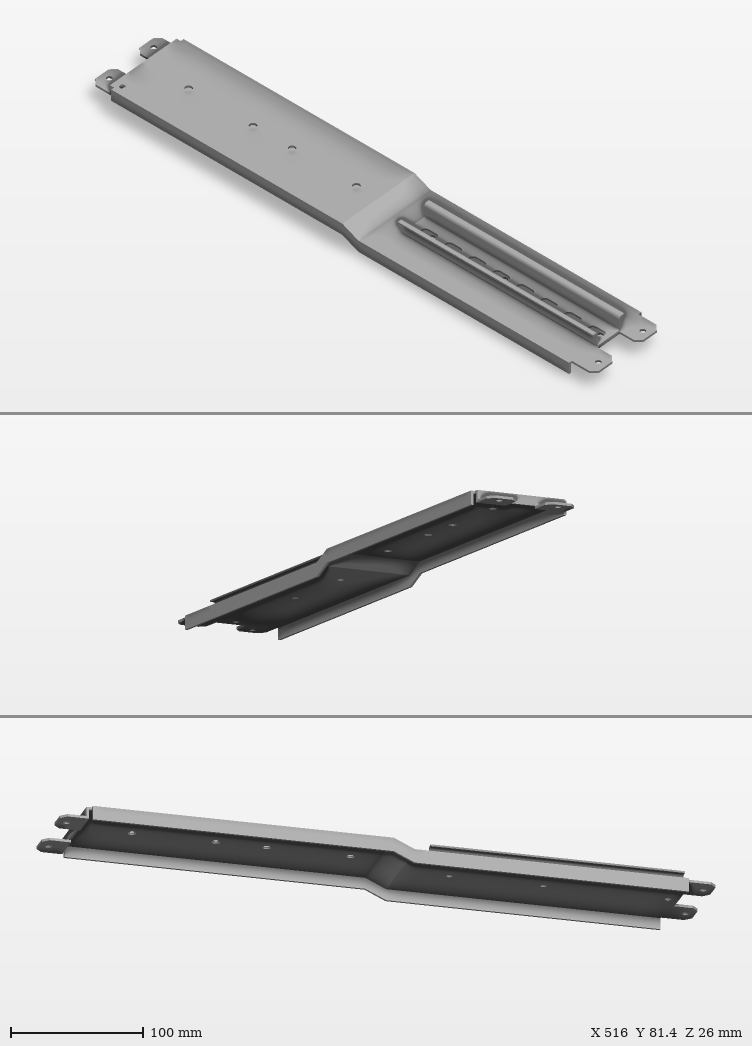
import cadquery as cq

overall_length = 516.0
bracket_width = 81.4
sheet = 2.0
channel_height = 11.0
step_height = 7.5
lower_top = channel_height
upper_top = lower_top + step_height
step_start_x = 260.5
step_end_x = 277.0

side_start_x = 23.8
side_end_x = 492.8
neck_width = 75.0
web_x = 19.6
right_edge_x = 496.3

tab_width = 25.0
tab_center_y = 25.0
tab_chamfer = 5.0
tab_hole_x = 7.5
tab_hole_diameter = 5.0

plate_hole_diameter = 6.5
plate_hole_xs = [66.0, 132.0, 172.0, 238.0]
corner_hole_diameter = 5.0
corner_hole_x = 27.8
corner_hole_y = -32.4

rail_length = 200.0
rail_start_x = right_edge_x - rail_length
rail_height = 15.0
rail_width = 35.0
rail_body_width = 27.0
rail_wall = 1.5
rail_bend = 1.2
slot_length = 15.5
slot_width = 7.5
slot_pitch = 24.5
slot_count = 8
first_slot_inset = 16.3
first_slot_x = rail_start_x + first_slot_inset
rail_hole_diameter = 5.0
rail_hole_offsets = [19.5, 93.5, 191.5]
rail_hole_xs = [rail_start_x + offset for offset in rail_hole_offsets]


def vertical_hole(x, y, diameter):
    """Cutter running through the full height of the bracket."""
    return cq.Workplane("XY").center(x, y).circle(diameter / 2).extrude(upper_top)


def stepped_bar(drop, width):
    """Bar of the given width following the stepped top, running `drop` below it."""
    profile = [
        (side_start_x, upper_top),
        (step_start_x, upper_top),
        (step_end_x, lower_top),
        (side_end_x, lower_top),
        (side_end_x, lower_top - drop),
        (step_end_x, lower_top - drop),
        (step_start_x, upper_top - drop),
        (side_start_x, upper_top - drop),
    ]
    return cq.Workplane("XZ").polyline(profile).close().extrude(width / 2, both=True)


def slab(x_start, x_end, width, top, thickness):
    """Rectangular plate centred on the X axis."""
    return (
        cq.Workplane("XY", origin=(x_start, 0, top - thickness))
        .rect(x_end - x_start, width, centered=(False, True))
        .extrude(thickness)
    )


def tab(tip_x, root_x, y):
    """Mounting tab with chamfered tip corners and a hole."""
    points_left = tip_x < root_x
    tip_side = "<X" if points_left else ">X"
    inward = 1 if points_left else -1
    blank = (
        cq.Workplane("XY", origin=((tip_x + root_x) / 2, y, lower_top - sheet))
        .rect(abs(root_x - tip_x), tab_width)
        .extrude(sheet)
        .faces(tip_side)
        .edges("|Z")
        .chamfer(tab_chamfer)
    )
    return blank.cut(vertical_hole(tip_x + inward * tab_hole_x, y, tab_hole_diameter))


def make_bracket():
    """Stepped channel with a turned-down left end, four mounting tabs and its holes."""
    channel = stepped_bar(channel_height, bracket_width)
    hollow = stepped_bar(channel_height, bracket_width - 2 * sheet).translate((0, 0, -sheet))
    body = channel.cut(hollow)
    body = body.union(slab(web_x, side_start_x, neck_width, upper_top, sheet))
    body = body.union(slab(web_x, web_x + sheet, neck_width, upper_top, step_height))
    body = body.union(slab(side_end_x, right_edge_x, neck_width, lower_top, sheet))
    for y in (-tab_center_y, tab_center_y):
        body = body.union(tab(0, web_x + sheet, y))
        body = body.union(tab(overall_length, side_end_x, y))
    for x in plate_hole_xs:
        body = body.cut(vertical_hole(x, 0, plate_hole_diameter))
    for x in rail_hole_xs:
        body = body.cut(vertical_hole(x, 0, rail_hole_diameter))
    return body.cut(vertical_hole(corner_hole_x, corner_hole_y, corner_hole_diameter))


def make_rail():
    """Top-hat strip: folded section with rounded bends, slotted along its floor."""
    wall_y = rail_body_width / 2
    lip_y = rail_width / 2
    lip_bottom = rail_height - rail_wall
    inner_y = wall_y - rail_wall
    profile = [
        (-wall_y, 0),
        (wall_y, 0),
        (wall_y, lip_bottom),
        (lip_y, lip_bottom),
        (lip_y, rail_height),
        (inner_y, rail_height),
        (inner_y, rail_wall),
        (-inner_y, rail_wall),
        (-inner_y, rail_height),
        (-lip_y, rail_height),
        (-lip_y, lip_bottom),
        (-wall_y, lip_bottom),
    ]
    strip = (
        cq.Workplane("YZ", origin=(rail_start_x, 0, lower_top))
        .polyline(profile)
        .close()
        .extrude(rail_length)
    )

    def mirrored_corners(y, z):
        """Selectors for the lengthwise edge at (y, z) and its mirror image, z above the rail seat."""
        middle_x = rail_start_x + rail_length / 2
        points = [(middle_x, side * y, lower_top + z) for side in (-1, 1)]
        return [cq.selectors.NearestToPointSelector(point) for point in points]

    outer_bend = rail_bend + rail_wall
    bends = [
        (wall_y, 0, outer_bend),
        (inner_y, rail_wall, rail_bend),
        (inner_y, rail_height, outer_bend),
        (wall_y, lip_bottom, rail_bend),
    ]
    for y, z, radius in bends:
        for corner in mirrored_corners(y, z):
            strip = strip.edges("|X").edges(corner).fillet(radius)
    slots = (
        cq.Workplane("XY", origin=(first_slot_x, 0, lower_top))
        .pushPoints([(i * slot_pitch, 0) for i in range(slot_count)])
        .slot2D(slot_length, slot_width)
        .extrude(rail_height)
    )
    return strip.cut(slots)


bracket = make_bracket()
rail = make_rail()
result = cq.Compound.makeCompound([bracket.val(), rail.val()])